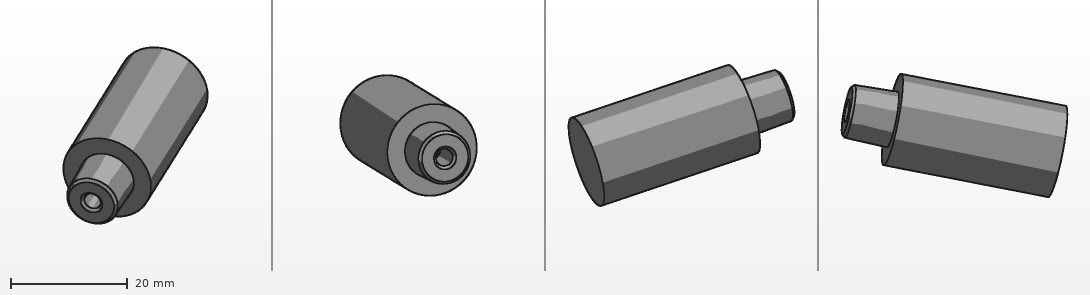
import cadquery as cq

body_diameter = 16.0
overall_length = 37.0

nose_length = 8.0
nose_base_diameter = 9.728
nose_taper = 1 / 16
nose_chamfer = 0.5

hole_diameter = 3.0
hole_mouth_diameter = 4.0
hole_depth = 8.0

nose_front_diameter = nose_base_diameter - nose_taper * (nose_length - nose_chamfer)
hole_chamfer = (hole_mouth_diameter - hole_diameter) / 2

nose_face_y = 0.0
shoulder_y = nose_face_y + nose_length
body_end_y = nose_face_y + overall_length


def revolve_about_y(half_profile):
    """Turn a half profile of (Y, radius) points into a solid around the Y axis."""
    return cq.Workplane("YZ").polyline(half_profile).close().revolve(360, (0, 0, 0), (1, 0, 0))


def make_shaft():
    """Cylindrical body with a chamfered, tapered nose."""
    return revolve_about_y([
        (nose_face_y, 0),
        (nose_face_y, nose_front_diameter / 2 - nose_chamfer),
        (nose_face_y + nose_chamfer, nose_front_diameter / 2),
        (shoulder_y, nose_base_diameter / 2),
        (shoulder_y, body_diameter / 2),
        (body_end_y, body_diameter / 2),
        (body_end_y, 0),
    ])


def make_centre_hole():
    """Flat-bottomed hole with a 45 degree countersunk mouth."""
    return revolve_about_y([
        (nose_face_y, 0),
        (nose_face_y, hole_mouth_diameter / 2),
        (nose_face_y + hole_chamfer, hole_diameter / 2),
        (nose_face_y + hole_depth, hole_diameter / 2),
        (nose_face_y + hole_depth, 0),
    ])


result = make_shaft().cut(make_centre_hole())